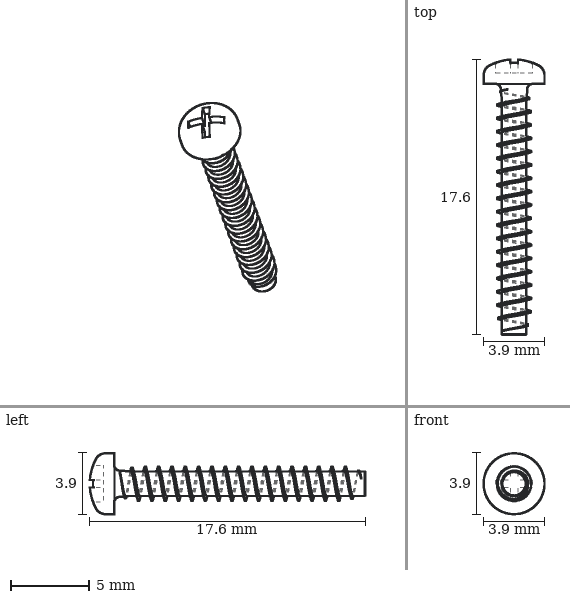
import cadquery as cq
import math

total_length = 17.56
shank_length = 16.0
head_height = total_length - shank_length

head_radius = 1.95
head_rim_height = 0.55
dome_radius = 3.28

recess_wing_width = 0.47
recess_span = 2.35
recess_depth = 0.88

neck_radius = 0.85
neck_length = 0.55
neck_fillet = 0.35
neck_taper_length = 0.37
core_radius = 0.79
tip_chamfer = 0.05
tip_dish_depth = 0.09

thread_radius = 1.098
thread_pitch = 0.85
thread_crest_width = 0.04
thread_flank_angle = 12.0
thread_root_depth = 0.04
flare_height = 0.04
flare_width = 0.12
thread_start = 0.21
tip_fade_turns = 1.25
full_turns = 15.75
head_fade_turns = 1.25
fade_sink = 0.02

CYLINDER = 360.0


def make_head():
    """Pan head: a straight rim, a tight shoulder arc and a wide dome arc, all tangent."""
    inner_corner = recess_wing_width / math.sqrt(2)
    apex = head_height + dome_radius - math.sqrt(dome_radius**2 - inner_corner**2)
    dome_center = apex - dome_radius

    rise = head_rim_height - dome_center
    shoulder_radius = (dome_radius**2 - head_radius**2 - rise**2) / (2 * (dome_radius - head_radius))
    shoulder_center = head_radius - shoulder_radius
    joint_angle = math.atan2(rise, shoulder_center)
    shoulder_angle = joint_angle / 2
    dome_angle = (joint_angle + math.pi / 2) / 2

    def on_shoulder(angle):
        return (
            shoulder_center + shoulder_radius * math.cos(angle),
            head_rim_height + shoulder_radius * math.sin(angle),
        )

    def on_dome(angle):
        return (dome_radius * math.cos(angle), dome_center + dome_radius * math.sin(angle))

    return (
        cq.Workplane("XY")
        .lineTo(head_radius, 0)
        .lineTo(head_radius, head_rim_height)
        .threePointArc(on_shoulder(shoulder_angle), on_shoulder(joint_angle))
        .threePointArc(on_dome(dome_angle), (0, apex))
        .close()
        .revolve(360, (0, 0), (0, 1))
    )


def make_recess():
    """Two crossed wings that open through the dome."""
    bottom = head_height - recess_depth
    height = 2 * recess_depth
    wing = cq.Workplane("XY").box(
        recess_span, height, recess_wing_width, centered=(True, False, True)
    )
    wing = wing.translate((0, bottom, 0))
    return wing.union(wing.rotate((0, 0, 0), (0, 1, 0), 90))


def make_shank():
    """Core with a fillet under the head, a short neck, a taper and a chamfered, dished tip."""
    tip_radius = core_radius - tip_chamfer
    dish_radius = (tip_radius**2 + tip_dish_depth**2) / (2 * tip_dish_depth)
    dish_mid_radius = tip_radius / 2
    dish_mid_depth = tip_dish_depth - dish_radius + math.sqrt(dish_radius**2 - dish_mid_radius**2)
    fillet_offset = neck_fillet * (1 - math.sqrt(0.5))
    return (
        cq.Workplane("XY")
        .lineTo(neck_radius + neck_fillet, 0)
        .threePointArc(
            (neck_radius + fillet_offset, -fillet_offset), (neck_radius, -neck_fillet)
        )
        .lineTo(neck_radius, -neck_length)
        .lineTo(core_radius, -neck_length - neck_taper_length)
        .lineTo(core_radius, -shank_length + tip_chamfer)
        .lineTo(tip_radius, -shank_length)
        .threePointArc(
            (dish_mid_radius, -shank_length + dish_mid_depth), (0, -shank_length + tip_dish_depth)
        )
        .close()
        .revolve(360, (0, 0), (0, 1))
    )


def helix_band(turns, start_radius, end_radius):
    """Thread band rising along Z from Z = 0 at +X, its crest radius changing evenly."""
    height = turns * thread_pitch
    cone_angle = math.atan2(end_radius - start_radius, height)
    slant = 1 / math.cos(cone_angle)
    surface_angle = math.degrees(cone_angle) if cone_angle else CYLINDER
    root_drop = thread_radius - core_radius + thread_root_depth
    foot_drop = thread_radius - core_radius - flare_height
    crest_half = thread_crest_width / 2
    flank_slope = math.tan(math.radians(thread_flank_angle))
    root_offset = crest_half + root_drop * flank_slope
    foot_offset = crest_half + foot_drop * flank_slope
    flare_offset = foot_offset + flare_width * (root_drop - foot_drop) / flare_height

    def helix(radius_drop, offset):
        return cq.Wire.makeHelix(
            thread_pitch * slant,
            height * slant,
            start_radius - radius_drop,
            center=cq.Vector(0, 0, offset),
            angle=surface_angle,
        )

    edges = [
        helix(root_drop, -root_offset),
        helix(0, -crest_half),
        helix(0, crest_half),
        helix(foot_drop, foot_offset),
        helix(root_drop, flare_offset),
    ]
    sides = [cq.Face.makeRuledSurface(edges[i - 1], edges[i]) for i in range(len(edges))]
    start_corners = [edge.startPoint() for edge in edges]
    end_corners = [edge.endPoint() for edge in edges]
    ends = [
        cq.Face.makeFromWires(cq.Wire.makePolygon(corners, close=True))
        for corners in (start_corners, end_corners)
    ]
    return cq.Solid.makeSolid(cq.Shell.makeShell(sides + ends))


def make_thread_bands():
    """Right-hand thread that grows out of the core near the tip and fades into the neck."""
    spans = [
        (tip_fade_turns, core_radius - fade_sink, thread_radius),
        (full_turns, thread_radius, thread_radius),
        (head_fade_turns, thread_radius, neck_radius - fade_sink),
    ]
    bands = []
    turns_done = 0
    for turns, start_radius, end_radius in spans:
        height = thread_start + turns_done * thread_pitch - shank_length
        band = (
            cq.Workplane(helix_band(turns, start_radius, end_radius))
            .rotate((0, 0, 0), (0, 0, 1), 360 * turns_done)
            .translate((0, 0, height))
            .rotate((0, 0, 0), (1, 0, 0), -90)
            .rotate((0, 0, 0), (0, 1, 0), 180)
        )
        bands.append(band)
        turns_done += turns
    return bands


result = make_head().union(make_shank()).cut(make_recess())
for band in make_thread_bands():
    result = result.union(band)